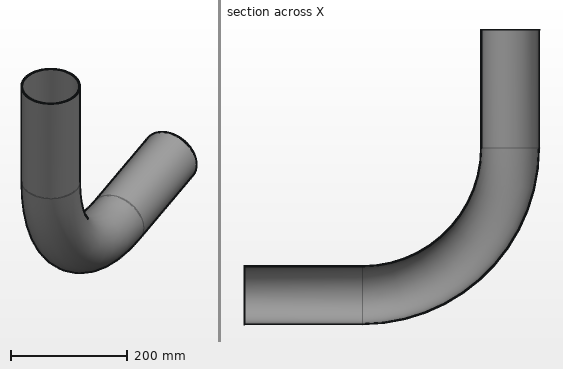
import cadquery as cq
import math

overall_length = 508.0
outer_diameter = 101.5
inner_diameter = 97.5
leg_length = 203.0

outer_radius = outer_diameter / 2
bend_radius = overall_length - leg_length - outer_radius
centerline_reach = leg_length + bend_radius

bend_offset = bend_radius * (1 - math.cos(math.radians(45)))
centerline = (
    cq.Workplane("YZ")
    .moveTo(0, centerline_reach)
    .lineTo(0, bend_radius)
    .threePointArc((bend_offset, bend_offset), (bend_radius, 0))
    .lineTo(centerline_reach, 0)
)

result = (
    cq.Workplane("XY", origin=(0, 0, centerline_reach))
    .circle(outer_radius)
    .circle(inner_diameter / 2)
    .sweep(centerline)
)